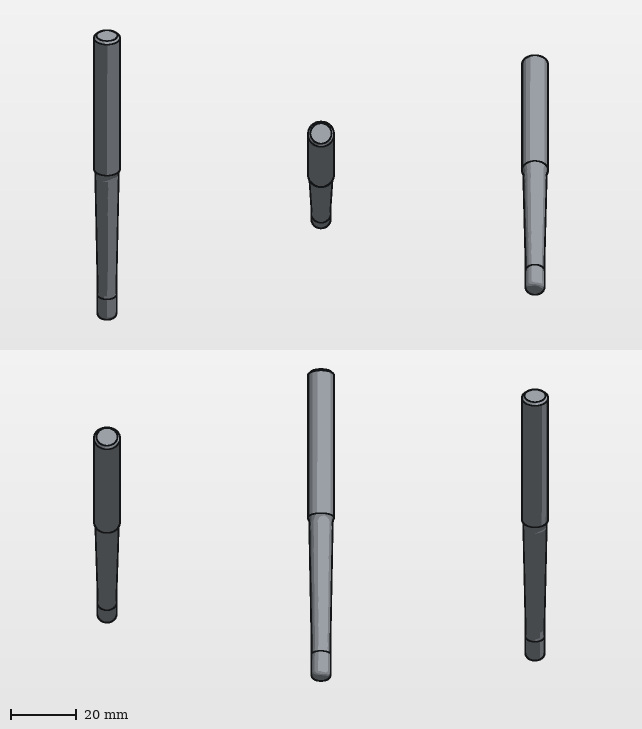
import cadquery as cq

total_length = 100.0
shank_radius = 4.0
shank_chamfer = 0.8

head_radius = 3.0
corner_radius = 1.5
head_length = 8.0

neck_radius = 2.9
neck_start = 9.0
taper_start = 11.1
taper_end = 50.0
taper_end_radius = 3.6
shank_start = 52.6
blend_radius = 4.0


def revolve_about_z(profile):
    """Turn a closed (radius, height) profile once around the Z axis."""
    return profile.close().revolve(360, (0, 0, 0), (0, 1, 0))


def make_cutting_head():
    """Round-cornered cylinder that forms the tip."""
    profile = (
        cq.Workplane("XZ")
        .moveTo(0, 0)
        .lineTo(head_radius - corner_radius, 0)
        .radiusArc((head_radius, corner_radius), -corner_radius)
        .lineTo(head_radius, head_length)
        .lineTo(0, head_length)
    )
    return revolve_about_z(profile)


def make_shank():
    """Relieved neck, long taper, concave blend and chamfered cylindrical shank."""
    profile = (
        cq.Workplane("XZ")
        .moveTo(0, head_length)
        .lineTo(head_radius, head_length)
        .lineTo(neck_radius, neck_start)
        .lineTo(neck_radius, taper_start)
        .lineTo(taper_end_radius, taper_end)
        .radiusArc((shank_radius, shank_start), blend_radius)
        .lineTo(shank_radius, total_length - shank_chamfer)
        .lineTo(shank_radius - shank_chamfer, total_length)
        .lineTo(0, total_length)
    )
    return revolve_about_z(profile)


cutting_head = make_cutting_head()
shank = make_shank()

result = cq.Compound.makeCompound([cutting_head.val(), shank.val()])